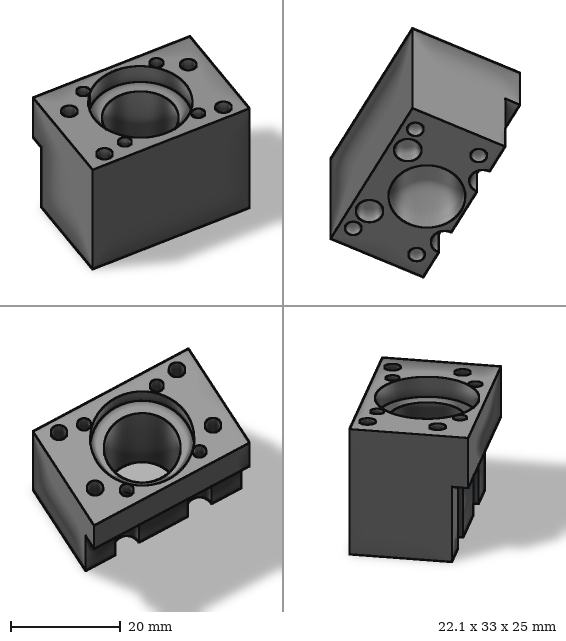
import cadquery as cq

width, length, height = 22.05, 32.95, 25.0
overhang = 3.03
overhang_thickness = 10.0
step_height = height - overhang_thickness

bore_x = 10.67
bore_diameter = 14.0
recess_diameter = 19.0
recess_depth = 4.0

screw_spacing = 15.38
screw_row_x = 3.13
screw_diameter = 2.5
screw_head_diameter = 5.0

mount_row_x = 6.42
mount_spacing_x = 12.98
mount_spacing_y = 24.97
mount_diameter = 3.0


def cylinders(points, diameter, bottom, top):
    """Vertical cylinders at the given XY points."""
    return cq.Workplane(origin=(0, 0, bottom)).pushPoints(points).circle(diameter / 2).extrude(top - bottom)


def rectangle_points(first_x, spacing_x, spacing_y):
    """Corners of a rectangle that is symmetric about the mid-plane."""
    return [(x, y) for x in (first_x, first_x + spacing_x) for y in (-spacing_y / 2, spacing_y / 2)]


def stepped_block():
    profile = [
        (overhang, 0),
        (width, 0),
        (width, height),
        (0, height),
        (0, step_height),
        (overhang, step_height),
    ]
    return cq.Workplane("XZ").polyline(profile).close().extrude(length / 2, both=True)


bore_centre = [(bore_x, 0)]
screw_points = rectangle_points(screw_row_x, screw_spacing, screw_spacing)
mount_points = rectangle_points(mount_row_x, mount_spacing_x, mount_spacing_y)

result = (
    stepped_block()
    .cut(cylinders(bore_centre, bore_diameter, 0, height))
    .cut(cylinders(bore_centre, recess_diameter, height - recess_depth, height))
    .cut(cylinders(screw_points, screw_diameter, 0, height))
    .cut(cylinders(screw_points, screw_head_diameter, 0, step_height))
    .cut(cylinders(mount_points, mount_diameter, 0, height))
)